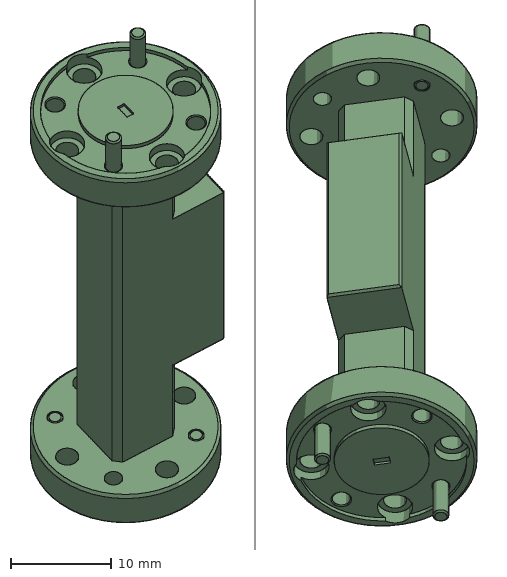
import cadquery as cq
import math

total_length = 58.55
pin_protrusion = 3.8

flange_dia = 19.0
flange_thickness = 4.15
flange_edge_chamfer = 0.3
face_z = total_length / 2 - pin_protrusion
back_z = face_z - flange_thickness

boss_dia = 9.5
rim_inner_dia = 17.0
recess_depth = 0.45
recess_floor_z = face_z - recess_depth

bolt_circle_radius = 7.15
screw_hole_dia = 2.3
counterbore_dia = 3.5
counterbore_depth = 1.45
screw_angles = (0, 90, 180, 270)

pin_dia = 1.6
pin_chamfer = 0.2
clearance_hole_dia = 1.8
hole_mouth_chamfer = 0.1
pin_angles = (135, 315)
clearance_angles = (45, 225)

bar_width = 7.6
bar_chamfer = 0.75
block_length = 21.65
block_reach = flange_dia / 2
block_edge_chamfer = 0.25

waveguide_width = 1.65
waveguide_height = 0.8
waveguide_depth = 0.3


def bolt_circle_points(angles):
    """Centres on the bolt circle at the given angles in degrees."""
    return [
        (
            bolt_circle_radius * math.cos(math.radians(angle)),
            bolt_circle_radius * math.sin(math.radians(angle)),
        )
        for angle in angles
    ]


def cylinders(angles, diameter, bottom_z, top_z):
    """Cylinders along Z on the bolt circle."""
    return (
        cq.Workplane("XY", origin=(0, 0, bottom_z))
        .pushPoints(bolt_circle_points(angles))
        .circle(diameter / 2)
        .extrude(top_z - bottom_z)
    )


def cut_pin_holes(flange, angles, diameter):
    """Cut through holes with a chamfered mouth at the recess floor."""
    mouth_radius = diameter / 2 + hole_mouth_chamfer
    flange = flange.cut(cylinders(angles, diameter, back_z, face_z))
    for x, y in bolt_circle_points(angles):
        mouth = cq.Solid.makeCone(
            mouth_radius,
            diameter / 2,
            hole_mouth_chamfer,
            pnt=cq.Vector(x, y, recess_floor_z),
            dir=cq.Vector(0, 0, -1),
        )
        flange = flange.cut(cq.Workplane(mouth))
    return flange


def turn_to_lower_end(shape):
    """Turn an upper-end shape half a turn about X to make the lower end."""
    return shape.rotate((0, 0, 0), (1, 0, 0), 180)


def make_upper_flange():
    flange = (
        cq.Workplane("XY", origin=(0, 0, back_z))
        .circle(flange_dia / 2)
        .extrude(flange_thickness)
        .edges("%CIRCLE")
        .chamfer(flange_edge_chamfer)
    )
    ring_recess = (
        cq.Workplane("XY", origin=(0, 0, recess_floor_z))
        .circle(rim_inner_dia / 2)
        .circle(boss_dia / 2)
        .extrude(recess_depth)
    )
    flange = flange.cut(ring_recess)
    flange = flange.cut(cylinders(screw_angles, screw_hole_dia, back_z, face_z))
    flange = flange.cut(cylinders(screw_angles, counterbore_dia, face_z - counterbore_depth, face_z))
    flange = cut_pin_holes(flange, pin_angles, pin_dia)
    flange = cut_pin_holes(flange, clearance_angles, clearance_hole_dia)
    waveguide = (
        cq.Workplane("XY", origin=(0, 0, face_z))
        .rect(waveguide_width, waveguide_height)
        .extrude(-waveguide_depth)
    )
    return flange.cut(waveguide)


def make_bar():
    """Chamfered square bar with the side block."""
    bar = cq.Workplane("XY").box(bar_width, bar_width, 2 * back_z).edges("|Z").chamfer(bar_chamfer)
    block = (
        cq.Workplane("XY")
        .box(bar_width, block_reach, block_length, centered=(True, False, True))
        .faces(">Y")
        .chamfer(block_edge_chamfer)
    )
    return bar.union(block)


def make_housing():
    """Bar, block and both flanges as one body."""
    upper_flange = make_upper_flange()
    return make_bar().union(upper_flange).union(turn_to_lower_end(upper_flange))


def make_upper_pin(x, y):
    """Dowel pin from the back of the upper flange to the upper end of the part."""
    return (
        cq.Workplane("XY", origin=(x, y, back_z))
        .circle(pin_dia / 2)
        .extrude(flange_thickness + pin_protrusion)
        .edges("%CIRCLE")
        .chamfer(pin_chamfer)
    )


housing = make_housing()

pins = []
for pin_x, pin_y in bolt_circle_points(pin_angles):
    upper_pin = make_upper_pin(pin_x, pin_y)
    pins.append(upper_pin.val())
    pins.append(turn_to_lower_end(upper_pin).val())

result = cq.Compound.makeCompound([housing.val(), *pins])